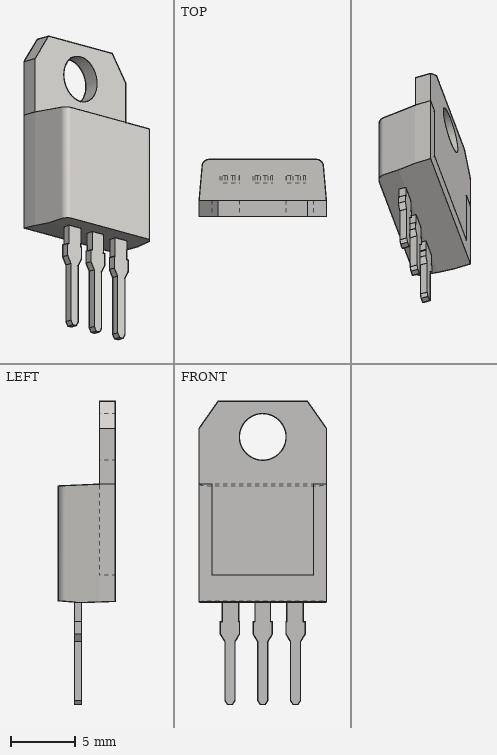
import cadquery as cq
import math


width = 9.9
depth = 4.45
height = 23.55

tab_thickness = 1.25
tab_corner_width = 1.48
tab_corner_height = 2.12
hole_diameter = 3.6
hole_drop = 2.78
tongue_width = 7.87
tongue_bottom = 10.05

housing_top = 17.12
housing_bottom = 8.0
side_draft = math.radians(5)
corner_radius = 0.57
top_fall = 0.15
belly_depth = 0.1
belly_y = 2.64
back_rise = 0.05

lead_pitch = 2.55
lead_thickness = 0.57
lead_y = 2.9
lead_width = 0.8
shoulder_width = 1.5
middle_neck_width = 1.22
outer_neck_width = 1.3
outer_neck_shift = 0.035
shoulder_top = 6.45
shoulder_bottom = 5.49
shoulder_taper_end = 4.9
tip_chamfer_width = 0.21
tip_chamfer_height = 0.33
lead_embed = 0.24


def make_tab():
    """Plate with two cut corners, a mounting hole and a narrower tongue below."""
    half_width = width / 2
    half_tongue = tongue_width / 2
    half_top = half_width - tab_corner_width
    plate = (
        cq.Workplane("XZ")
        .moveTo(-half_tongue, tongue_bottom)
        .lineTo(half_tongue, tongue_bottom)
        .lineTo(half_tongue, housing_top)
        .lineTo(half_width, housing_top)
        .lineTo(half_width, height - tab_corner_height)
        .lineTo(half_top, height)
        .lineTo(-half_top, height)
        .lineTo(-half_width, height - tab_corner_height)
        .lineTo(-half_width, housing_top)
        .lineTo(-half_tongue, housing_top)
        .close()
        .extrude(-tab_thickness)
    )
    hole = (
        cq.Workplane("XZ")
        .center(0, height - hole_drop)
        .circle(hole_diameter / 2)
        .extrude(-tab_thickness)
    )
    return plate.cut(hole)


def make_housing_block():
    """Moulded block: a drafted, rounded plan limited by the sloping top and bottom faces."""
    half_width = width / 2
    half_back = half_width - (depth - tab_thickness) * math.tan(side_draft)
    plan = (
        cq.Workplane("XY")
        .moveTo(-half_width, 0)
        .lineTo(half_width, 0)
        .lineTo(half_width, tab_thickness)
        .lineTo(half_back, depth)
        .lineTo(-half_back, depth)
        .lineTo(-half_width, tab_thickness)
        .close()
        .extrude(height)
        .edges("|Z and >Y")
        .fillet(corner_radius)
    )
    side = (
        cq.Workplane("YZ")
        .moveTo(0, housing_bottom)
        .lineTo(belly_y, housing_bottom - belly_depth)
        .lineTo(depth, housing_bottom + back_rise)
        .lineTo(depth, housing_top - top_fall)
        .lineTo(tab_thickness, housing_top)
        .lineTo(0, housing_top)
        .close()
        .extrude(half_width, both=True)
    )
    return plan.intersect(side)


def make_lead(position):
    """One flat lead; position is -1, 0 or 1 from left to right."""
    neck_width = middle_neck_width if position == 0 else outer_neck_width
    neck_x = -position * outer_neck_shift
    neck_left = neck_x - neck_width / 2
    neck_right = neck_x + neck_width / 2
    half_lead = lead_width / 2
    half_shoulder = shoulder_width / 2
    half_tip = half_lead - tip_chamfer_width
    root = housing_bottom + lead_embed
    return (
        cq.Workplane("XZ")
        .moveTo(-half_tip, 0)
        .lineTo(half_tip, 0)
        .lineTo(half_lead, tip_chamfer_height)
        .lineTo(half_lead, shoulder_taper_end)
        .lineTo(half_shoulder, shoulder_bottom)
        .lineTo(half_shoulder, shoulder_top)
        .lineTo(neck_right, shoulder_top)
        .lineTo(neck_right, root)
        .lineTo(neck_left, root)
        .lineTo(neck_left, shoulder_top)
        .lineTo(-half_shoulder, shoulder_top)
        .lineTo(-half_shoulder, shoulder_bottom)
        .lineTo(-half_lead, shoulder_taper_end)
        .lineTo(-half_lead, tip_chamfer_height)
        .close()
        .extrude(lead_thickness / 2, both=True)
        .translate((position * lead_pitch, lead_y, 0))
    )


tab = make_tab()

housing = make_housing_block().cut(tab)
for position in (-1, 0, 1):
    housing = housing.union(make_lead(position))

result = cq.Compound.makeCompound([tab.val(), housing.val()])